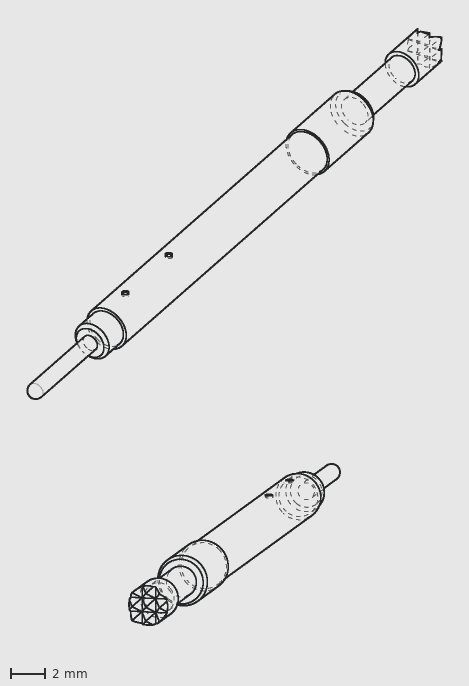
import cadquery as cq
import math

length = 43.3
pin_tip_y = -length / 2
crown_tip_y = length / 2

pin_radius = 1.0 / 2
plug_radius = 2.35 / 2
barrel_radius = 2.73 / 2
collar_radius = 3.0 / 2
plunger_radius = 1.8 / 2
head_radius = 2.35 / 2

plug_start = 6.4
barrel_start = 8.2
collar_start = 30.0
collar_end = 35.1
head_start = 40.25

plug_chamfer = 0.2
collar_chamfer_length = 0.3
collar_chamfer_depth = 0.17

tooth_pitch = 0.82
groove_angle = 60
groove_half_width = tooth_pitch / 2
groove_depth = groove_half_width / math.tan(math.radians(groove_angle / 2))
groove_offsets = [steps * tooth_pitch for steps in (-1.5, -0.5, 0.5, 1.5)]

dimple_positions = (10.2, 14.95)
dimple_radius = 0.2
dimple_depth = 0.15


def turned_body():
    """Revolve the stepped profile, with its hemispherical pin tip, about Y."""
    arc_middle = pin_radius * math.sin(math.radians(45))
    return (
        cq.Workplane("XY")
        .moveTo(0, 0)
        .threePointArc((arc_middle, pin_radius - arc_middle), (pin_radius, pin_radius))
        .lineTo(pin_radius, plug_start)
        .lineTo(plug_radius - plug_chamfer, plug_start)
        .lineTo(plug_radius, plug_start + plug_chamfer)
        .lineTo(plug_radius, barrel_start)
        .lineTo(barrel_radius, barrel_start)
        .lineTo(barrel_radius, collar_start)
        .lineTo(collar_radius, collar_start)
        .lineTo(collar_radius, collar_end - collar_chamfer_length)
        .lineTo(collar_radius - collar_chamfer_depth, collar_end)
        .lineTo(plunger_radius, collar_end)
        .lineTo(plunger_radius, head_start)
        .lineTo(head_radius, head_start)
        .lineTo(head_radius, length)
        .lineTo(0, length)
        .close()
        .revolve(360, (0, 0, 0), (0, 1, 0))
        .translate((0, pin_tip_y, 0))
    )


def crown_groove(offset):
    """V-groove along Z across the crown face, at the given X offset from the axis."""
    return (
        cq.Workplane("XY")
        .moveTo(offset - groove_half_width, crown_tip_y)
        .lineTo(offset, crown_tip_y - groove_depth)
        .lineTo(offset + groove_half_width, crown_tip_y)
        .close()
        .extrude(2 * head_radius, both=True)
    )


def dimple(position):
    """Flat-bottomed recess sunk into the +Z side of the barrel."""
    return (
        cq.Workplane("XY", origin=(0, pin_tip_y + position, barrel_radius - dimple_depth))
        .circle(dimple_radius)
        .extrude(2 * dimple_depth)
    )


result = turned_body()
for offset in groove_offsets:
    groove_along_z = crown_groove(offset)
    groove_along_x = groove_along_z.rotate((0, 0, 0), (0, 1, 0), 90)
    result = result.cut(groove_along_z).cut(groove_along_x)
for position in dimple_positions:
    result = result.cut(dimple(position))